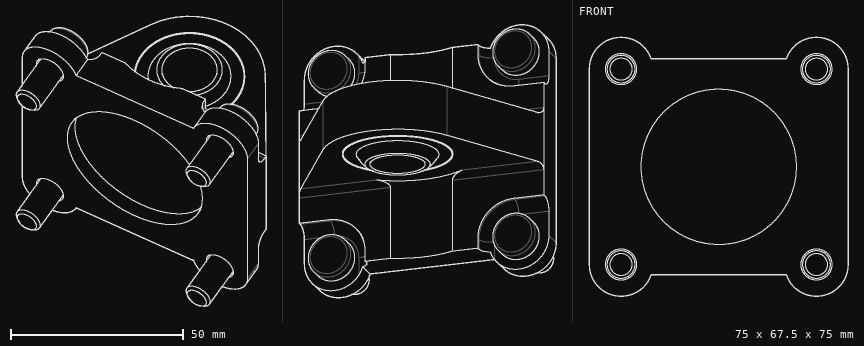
import cadquery as cq
import math

plate_width = 75.0
plate_height = 62.55
plate_thickness = 11.0
lug_thickness = 6.5
recess_diameter = 45.0
recess_depth = 4.5

screw_offset = 28.3
lug_radius = plate_width / 2 - screw_offset
screw_hole_diameter = 9.0
pocket_radius = 11.0
pocket_floor_fillet = 3.5
pocket_outward_reach = 2 * lug_radius

eye_distance = 32.0
eye_radius = 22.0
eye_thickness = 15.0
web_fillet = 2.0
scoop_clearance = 1.05
scoop_radius = eye_radius + scoop_clearance

ring_diameter = 32.0
ring_groove_width = 0.2
ring_groove_depth = 0.2
ball_diameter = 28.3
ball_width = 21.0
bore_diameter = 16.0

shank_diameter = 8.0
shank_protrusion = 13.5
shank_tip_chamfer = 0.8
head_diameter = 13.0
head_height = 5.0
head_edge_fillet = 0.8


def cylinder_y(diameter, y_start, y_end):
    """Cylinder along Y on the Y axis."""
    return (
        cq.Workplane("XZ", origin=(0, y_start, 0))
        .circle(diameter / 2)
        .extrude(y_start - y_end)
    )


def cylinder_z(radius, z_start, z_end):
    """Cylinder along Z on the axis of the eye."""
    return (
        cq.Workplane("XY", origin=(0, eye_distance, z_start))
        .circle(radius)
        .extrude(z_end - z_start)
    )


def at_corners(shape):
    """Four copies of a shape made on the Y axis for the +X +Z corner."""
    corner = shape.translate((screw_offset, 0, screw_offset))
    return [corner.rotate((0, 0, 0), (0, 1, 0), 90 * turn) for turn in range(4)]


def plate_block(width, height):
    return cq.Workplane("XY").box(width, plate_thickness, height, centered=(True, False, True))


def make_plate():
    screw_spacing = 2 * screw_offset
    plate = plate_block(plate_width, screw_spacing)
    plate = plate.union(plate_block(screw_spacing, plate_height))
    for lug in at_corners(cylinder_y(2 * lug_radius, 0, plate_thickness)):
        plate = plate.union(lug)
    return plate


def make_pocket():
    """Round-cornered pocket that is open towards the outside of the plate."""
    size = pocket_radius + pocket_outward_reach
    pocket = cq.Workplane("XY").box(size, plate_thickness, size, centered=False)
    pocket = pocket.edges("|Y and <X and <Z").fillet(pocket_radius)
    pocket = pocket.faces("<Y").edges().fillet(pocket_floor_fillet)
    return pocket.translate((-pocket_radius, lug_thickness, -pocket_radius))


def make_web():
    """Eye and tapered web: a plan outline trimmed to a filleted side profile."""
    half_base = plate_width / 2
    rise = eye_distance - plate_thickness
    base_to_eye = math.hypot(half_base, rise)
    tangent_angle = math.acos(eye_radius / base_to_eye) - math.atan2(rise, half_base)
    tangent_x = eye_radius * math.cos(tangent_angle)
    tangent_y = eye_distance + eye_radius * math.sin(tangent_angle)
    eye_top = eye_distance + eye_radius
    outline = (
        cq.Workplane("XY", origin=(0, 0, -plate_height / 2))
        .moveTo(-half_base, plate_thickness)
        .lineTo(half_base, plate_thickness)
        .lineTo(tangent_x, tangent_y)
        .threePointArc((0, eye_top), (-tangent_x, tangent_y))
        .close()
        .extrude(plate_height)
    )

    half_eye = eye_thickness / 2
    half_root = half_eye + web_fillet
    fillet_end = plate_thickness + web_fillet
    profile = (
        cq.Workplane("YZ", origin=(-half_base, 0, 0))
        .moveTo(plate_thickness, -half_root)
        .radiusArc((fillet_end, -half_eye), web_fillet)
        .lineTo(eye_top, -half_eye)
        .lineTo(eye_top, half_eye)
        .lineTo(fillet_end, half_eye)
        .radiusArc((plate_thickness, half_root), web_fillet)
        .close()
        .extrude(plate_width)
    )
    return outline.intersect(profile)


def make_ball():
    ball = cq.Workplane("XY").sphere(ball_diameter / 2)
    ball = ball.intersect(cq.Workplane("XY").box(ball_diameter, ball_diameter, ball_width))
    return ball.translate((0, eye_distance, 0))


def make_housing():
    housing = make_plate()
    for pocket in at_corners(make_pocket()):
        housing = housing.cut(pocket)
    housing = housing.union(make_web())

    half_eye = eye_thickness / 2
    for side in (1, -1):
        housing = housing.cut(cylinder_z(scoop_radius, side * half_eye, side * plate_height))

    ring_radius = ring_diameter / 2
    for side in (1, -1):
        groove_floor = side * (half_eye - ring_groove_depth)
        groove = cylinder_z(ring_radius, groove_floor, side * half_eye).cut(
            cylinder_z(ring_radius - ring_groove_width, groove_floor, side * half_eye)
        )
        housing = housing.cut(groove)

    housing = housing.union(make_ball())
    housing = housing.cut(cylinder_z(bore_diameter / 2, -ball_width / 2, ball_width / 2))

    housing = housing.cut(cylinder_y(recess_diameter, 0, recess_depth))
    for hole in at_corners(cylinder_y(screw_hole_diameter, 0, lug_thickness)):
        housing = housing.cut(hole)
    return housing


def make_screw():
    """Screw along Y whose head rests on the lug."""
    shank = cylinder_y(shank_diameter, -shank_protrusion, lug_thickness)
    shank = shank.faces("<Y").chamfer(shank_tip_chamfer)
    head = cylinder_y(head_diameter, lug_thickness, lug_thickness + head_height)
    head = head.edges().fillet(head_edge_fillet)
    return shank.union(head)


housing = make_housing()
screws = at_corners(make_screw())
result = cq.Compound.makeCompound([housing.val(), *[screw.val() for screw in screws]])